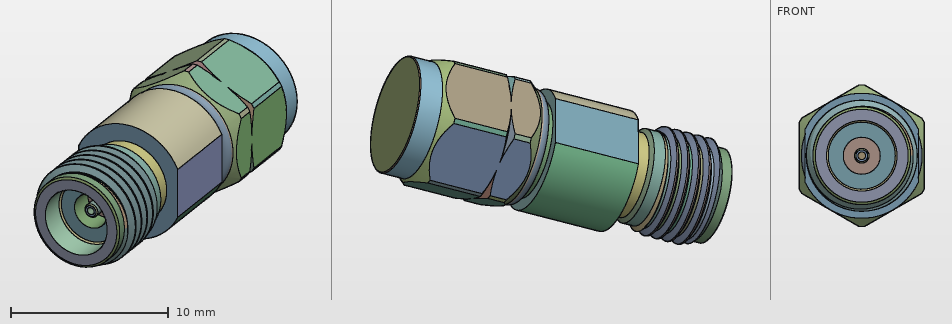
import cadquery as cq
import math

LENGTH = 22.12

SOCKET_RADIUS = 3.1
SOCKET_FACE_RADIUS = 2.95
SOCKET_CHAMFER_LENGTH = 0.09
SOCKET_SHOULDER_Y = 5.49
SOCKET_SHOULDER_LENGTH = 0.22
SOCKET_NECK_RADIUS = 2.79
SOCKET_NECK_Y = SOCKET_SHOULDER_Y + SOCKET_SHOULDER_LENGTH

THREAD_CREST_RADIUS = 3.52
THREAD_PITCH = 0.75
THREAD_START_Y = 0.7
THREAD_END_Y = 4.71
THREAD_BASE_WIDTH = 0.58
THREAD_CREST_WIDTH = 0.1
THREAD_TOP_CREST_Y = 1.24
THREAD_EMBED = 0.09
THREAD_TRIM_MARGIN = 0.22
THREAD_OVERRUN_TURNS = 2
AXIS_SWAP_ANGLE = 240

BORE_RADIUS = 2.23
BORE_DEPTH = 1.9
BORE_FLOOR_CHAMFER = 0.1
CONTACT_WELL_RADIUS = 1.17
CONTACT_WELL_DEPTH = 1.77
CONTACT_RADIUS = 0.46
CONTACT_CHAMFER = 0.09
CONTACT_HOLE_RADIUS = 0.25

BODY_START_Y = 6.81
BODY_END_Y = 12.59
BODY_RADIUS = 3.95
BODY_FLATS_WIDTH = 7.17

NUT_EDGE_CHAMFER = 0.07
NUT_NECK_RADIUS = 3.19
NUT_START_Y = 12.96
NUT_LIP_RADIUS = 3.83
NUT_LIP_FILLET = 0.53
HEX_FLATS_WIDTH = 7.95
HEX_CORNER_RADIUS = 4.5
HEX_REAR_CONE_Y = 13.63
HEX_REAR_Y = 14.45
HEX_FRONT_Y = 19.75
HEX_FRONT_CONE_Y = 20.55
GROOVE_Y = 15.84
GROOVE_HALF_WIDTH = 0.27
GROOVE_RADIUS = 3.98


def revolve_y(profile):
    """Revolve a closed (radius, y) profile about the Y axis."""
    return profile.close().revolve(360, (0, 0, 0), (0, 1, 0))


def cylinder_y(radius, start_y, end_y):
    """Round bar along Y between two stations."""
    return cq.Workplane("XZ", origin=(0, start_y, 0)).circle(radius).extrude(start_y - end_y)


def socket_core():
    return revolve_y(
        cq.Workplane("XY")
        .lineTo(SOCKET_FACE_RADIUS, 0)
        .lineTo(SOCKET_RADIUS, SOCKET_CHAMFER_LENGTH)
        .lineTo(SOCKET_RADIUS, SOCKET_SHOULDER_Y)
        .lineTo(SOCKET_NECK_RADIUS, SOCKET_NECK_Y)
        .lineTo(SOCKET_NECK_RADIUS, BODY_START_Y)
        .lineTo(0, BODY_START_Y)
    )


def thread():
    """Right-hand ridge, run past both ends and trimmed by 45 degree end cones."""
    root_radius = SOCKET_RADIUS - THREAD_EMBED
    flank_slope = (THREAD_BASE_WIDTH - THREAD_CREST_WIDTH) / 2 / (THREAD_CREST_RADIUS - SOCKET_RADIUS)
    half_root = THREAD_BASE_WIDTH / 2 + THREAD_EMBED * flank_slope
    half_crest = THREAD_CREST_WIDTH / 2
    turns = math.ceil((THREAD_END_Y - THREAD_START_Y) / THREAD_PITCH) + 2 * THREAD_OVERRUN_TURNS

    helix = cq.Wire.makeHelix(THREAD_PITCH, turns * THREAD_PITCH, root_radius)
    ridge = (
        cq.Workplane("XZ")
        .moveTo(root_radius, -half_root)
        .lineTo(THREAD_CREST_RADIUS, -half_crest)
        .lineTo(THREAD_CREST_RADIUS, half_crest)
        .lineTo(root_radius, half_root)
        .close()
        .sweep(cq.Workplane(obj=helix), isFrenet=True)
    )
    ridge = ridge.rotate((0, 0, 0), (1, 1, 1), AXIS_SWAP_ANGLE)
    ridge = ridge.translate((0, THREAD_TOP_CREST_Y - THREAD_OVERRUN_TURNS * THREAD_PITCH, 0))

    runout = THREAD_CREST_RADIUS - SOCKET_RADIUS
    outer = THREAD_CREST_RADIUS + THREAD_TRIM_MARGIN
    envelope = revolve_y(
        cq.Workplane("XY")
        .moveTo(root_radius - THREAD_TRIM_MARGIN, THREAD_START_Y)
        .lineTo(SOCKET_RADIUS, THREAD_START_Y)
        .lineTo(outer, THREAD_START_Y + runout + THREAD_TRIM_MARGIN)
        .lineTo(outer, THREAD_END_Y - runout - THREAD_TRIM_MARGIN)
        .lineTo(SOCKET_RADIUS, THREAD_END_Y)
        .lineTo(root_radius - THREAD_TRIM_MARGIN, THREAD_END_Y)
    )
    return ridge.intersect(envelope)


def socket_bore():
    well_floor_y = BORE_DEPTH + CONTACT_WELL_DEPTH
    return revolve_y(
        cq.Workplane("XY")
        .lineTo(BORE_RADIUS, 0)
        .lineTo(BORE_RADIUS, BORE_DEPTH - BORE_FLOOR_CHAMFER)
        .lineTo(BORE_RADIUS - BORE_FLOOR_CHAMFER, BORE_DEPTH)
        .lineTo(CONTACT_WELL_RADIUS, BORE_DEPTH)
        .lineTo(CONTACT_WELL_RADIUS, well_floor_y)
        .lineTo(0, well_floor_y)
    )


def centre_contact():
    """Chamfered tube standing on the floor of the contact well, its tip level with the bore floor."""
    well_floor_y = BORE_DEPTH + CONTACT_WELL_DEPTH
    return revolve_y(
        cq.Workplane("XY")
        .moveTo(CONTACT_HOLE_RADIUS, BORE_DEPTH)
        .lineTo(CONTACT_RADIUS - CONTACT_CHAMFER, BORE_DEPTH)
        .lineTo(CONTACT_RADIUS, BORE_DEPTH + CONTACT_CHAMFER)
        .lineTo(CONTACT_RADIUS, well_floor_y)
        .lineTo(CONTACT_HOLE_RADIUS, well_floor_y)
    )


def body():
    barrel = cylinder_y(BODY_RADIUS, BODY_START_Y, BODY_END_Y)
    flats = cq.Workplane("XY").box(BODY_FLATS_WIDTH, 2 * LENGTH, 2 * BODY_RADIUS)
    return barrel.intersect(flats)


def nut():
    """Hexagon with coned ends, a V groove round it, a rounded rear lip and a round front collar."""
    lip_tangent_y = NUT_START_Y + NUT_LIP_FILLET
    lip_arc_middle = (
        NUT_LIP_RADIUS - NUT_LIP_FILLET * (1 - math.sqrt(0.5)),
        lip_tangent_y - NUT_LIP_FILLET * math.sqrt(0.5),
    )
    turned = revolve_y(
        cq.Workplane("XY")
        .moveTo(0, NUT_START_Y)
        .lineTo(NUT_LIP_RADIUS - NUT_LIP_FILLET, NUT_START_Y)
        .threePointArc(lip_arc_middle, (NUT_LIP_RADIUS, lip_tangent_y))
        .lineTo(NUT_LIP_RADIUS, HEX_REAR_CONE_Y)
        .lineTo(HEX_CORNER_RADIUS, HEX_REAR_Y)
        .lineTo(HEX_CORNER_RADIUS, GROOVE_Y - GROOVE_HALF_WIDTH)
        .lineTo(GROOVE_RADIUS, GROOVE_Y)
        .lineTo(HEX_CORNER_RADIUS, GROOVE_Y + GROOVE_HALF_WIDTH)
        .lineTo(HEX_CORNER_RADIUS, HEX_FRONT_Y)
        .lineTo(NUT_LIP_RADIUS, HEX_FRONT_CONE_Y)
        .lineTo(NUT_LIP_RADIUS, LENGTH - NUT_EDGE_CHAMFER)
        .lineTo(NUT_LIP_RADIUS - NUT_EDGE_CHAMFER, LENGTH)
        .lineTo(0, LENGTH)
    )
    corner_diameter = HEX_FLATS_WIDTH / math.cos(math.pi / 6)
    hexagon = (
        cq.Workplane("XZ")
        .transformed(rotate=(0, 0, 90))
        .polygon(6, corner_diameter)
        .extrude(-LENGTH)
    )
    return turned.intersect(hexagon)


nut_neck = cylinder_y(NUT_NECK_RADIUS, BODY_END_Y, NUT_START_Y)
shell = socket_core().union(thread()).union(body()).union(nut_neck).union(nut())
result = shell.cut(socket_bore()).union(centre_contact())